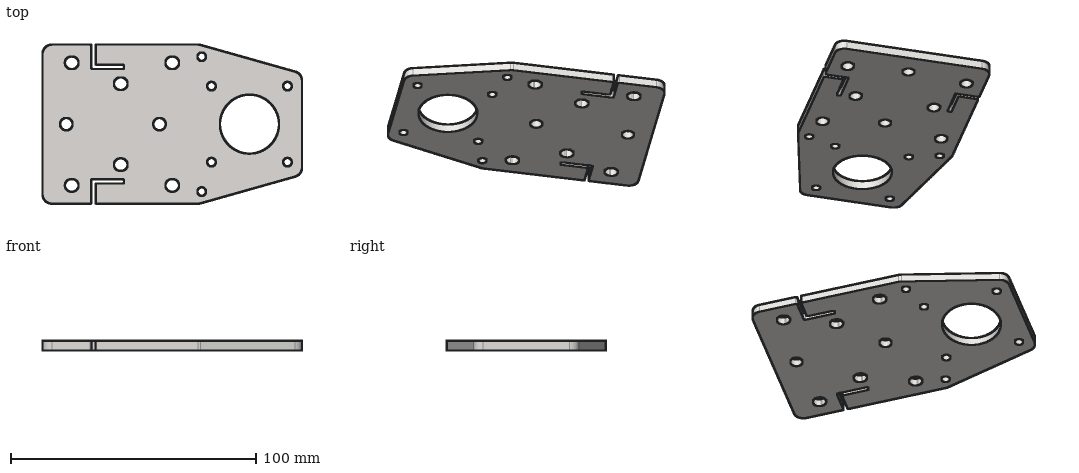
import cadquery as cq

length = 106.0
width = 65.0
thickness = 4.0
corner_radius = 4.0

taper_start_x = 64.0
nose_width = 41.3

bore_diameter = 24.0
bore_x = 84.5
bore_screw_spacing = 31.0
small_hole_diameter = 3.4

edge_hole_x = 65.0
edge_hole_y = 27.5

mount_hole_width = 5.0
mount_hole_length = 5.5
outer_mount_xs = (12.0, 53.0)
outer_mount_y = 25.0
inner_mount_x = 32.0
inner_mount_y = 16.5

centre_hole_diameter = 5.0
centre_hole_xs = (9.8, 47.8)

slot_x = 20.0
slot_length = 13.3
slot_depth = 10.0
slot_width = 1.7
slot_corner_radius = 0.5


def make_plate():
    half_width = width / 2
    half_nose = nose_width / 2
    outline = [
        (0, -half_width),
        (taper_start_x, -half_width),
        (length, -half_nose),
        (length, half_nose),
        (taper_start_x, half_width),
        (0, half_width),
    ]
    plate = cq.Workplane("XY").polyline(outline).close().extrude(thickness)
    return plate.edges("|Z").fillet(corner_radius)


def mirrored_pairs(xs, y):
    return [(x, side * y) for x in xs for side in (1, -1)]


def drill(body, points, diameter):
    holes = cq.Workplane("XY").pushPoints(points).circle(diameter / 2).extrude(thickness)
    return body.cut(holes)


def cut_elongated_holes(body, points, hole_length, hole_width):
    holes = cq.Workplane("XY").pushPoints(points).slot2D(hole_length, hole_width).extrude(thickness)
    return body.cut(holes)


def make_slot():
    """L-shaped slot on the +Y edge: an entry from the edge and a leg toward +X."""
    edge_y = width / 2
    floor_y = edge_y - slot_depth
    leg_top_y = floor_y + slot_width
    entry_end_x = slot_x + slot_width
    leg_end_x = slot_x + slot_length
    outline = [
        (slot_x, edge_y),
        (slot_x, floor_y),
        (leg_end_x, floor_y),
        (leg_end_x, leg_top_y),
        (entry_end_x, leg_top_y),
        (entry_end_x, edge_y),
    ]
    slot = cq.Workplane("XY").polyline(outline).close().extrude(thickness)
    inner_corners = slot.edges("|Z").edges("not >Y")
    return inner_corners.fillet(slot_corner_radius)


def round_slot_mouths(body):
    """Round the upright edges where both slots break through the long edges."""
    mouth_xs = (slot_x, slot_x + slot_width)
    corners = mirrored_pairs(mouth_xs, width / 2)
    for x, y in corners:
        nearest = cq.selectors.NearestToPointSelector((x, y, thickness / 2))
        body = body.edges("|Z").edges(nearest).fillet(slot_corner_radius)
    return body


half_spacing = bore_screw_spacing / 2
bore_screw_xs = (bore_x - half_spacing, bore_x + half_spacing)

small_holes = mirrored_pairs(bore_screw_xs, half_spacing) + mirrored_pairs([edge_hole_x], edge_hole_y)
mount_holes = mirrored_pairs(outer_mount_xs, outer_mount_y) + mirrored_pairs([inner_mount_x], inner_mount_y)
centre_holes = [(x, 0) for x in centre_hole_xs]

result = make_plate()
result = drill(result, [(bore_x, 0)], bore_diameter)
result = drill(result, small_holes, small_hole_diameter)
result = cut_elongated_holes(result, mount_holes, mount_hole_length, mount_hole_width)
result = drill(result, centre_holes, centre_hole_diameter)

slot = make_slot()
result = result.cut(slot).cut(slot.mirror("XZ"))
result = round_slot_mouths(result)